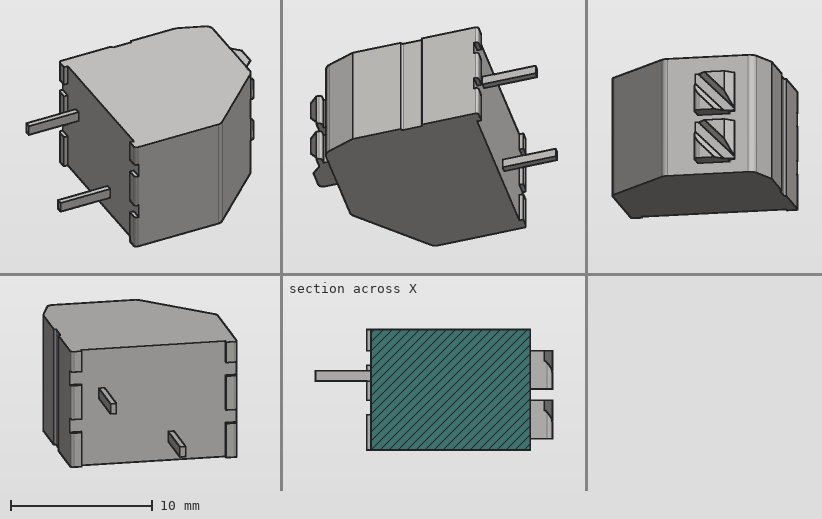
import cadquery as cq
import math

overall_length = 16.7
housing_width = 12.0
housing_depth = 8.5
pole_pitch = 3.49
poles = 2

pin_end_y = -3.6
button_top_y = overall_length + pin_end_y
housing_top_y = 11.52
board_face_y = 0.3
side_slope_y = 9.22
side_slope_run = 0.84
wire_slope_x = 7.28
wire_slope_y = 6.78
top_corner_radius = 0.57
foot_corner_radius = 0.2
selection_margin = 0.17

groove_depth = 0.15
groove_low_y = 4.12
groove_high_y = 5.68
groove_fillet = 0.13

foot_width = 0.8
foot_gap = 1.0
first_gap_z = 2.5

pin_width = 0.42
pin_height = 0.75
first_pin_z = 1.37
pin_lefts = (7.08, 2.09)

button_height = 2.72
first_button_z = 0.8
stem_left = 2.52
stem_right = 4.83
button_overhang = 0.5
button_bevel = 0.6
lip_bottom_drop = 0.99
lip_fillet = 0.22
button_fillet = 0.4

slot_depth = 0.6
slot_floor_width = 0.63
slot_top_width = 1.42
slot_half_length = 5.01
slot_angle = 45.0


def make_housing():
    outline = [
        (0, 0),
        (housing_width, 0),
        (housing_width, wire_slope_y),
        (wire_slope_x, housing_top_y),
        (side_slope_run, housing_top_y),
        (0, side_slope_y),
    ]
    body = cq.Workplane("XY").polyline(outline).close().extrude(housing_depth)
    upper_corners = cq.selectors.BoxSelector(
        (side_slope_run - selection_margin, wire_slope_y - selection_margin, 0),
        (housing_width + selection_margin, housing_top_y + selection_margin, housing_depth),
    )
    body = body.edges("|Z").edges(upper_corners).fillet(top_corner_radius)
    body = body.faces("<Y").edges("|Z").fillet(foot_corner_radius)

    groove = (
        cq.Workplane("XY")
        .rect(2 * groove_depth, groove_high_y - groove_low_y)
        .extrude(housing_depth)
        .translate((0, (groove_low_y + groove_high_y) / 2, 0))
        .faces(">X").edges("|Z").fillet(groove_fillet)
    )
    return body.cut(groove)


def make_foot_clearance():
    clearance = (
        cq.Workplane("XY")
        .box(housing_width - 2 * foot_width, board_face_y, housing_depth, centered=False)
        .translate((foot_width, 0, 0))
    )
    for pole in range(poles):
        gap = cq.Workplane("XY").box(housing_width, board_face_y, foot_gap, centered=False)
        clearance = clearance.union(gap.translate((0, 0, first_gap_z + pole * pole_pitch)))
    return clearance


def make_pin(left, bottom):
    length = board_face_y - pin_end_y
    pin = cq.Workplane("XY").box(pin_width, length, pin_height, centered=False)
    return pin.translate((left, pin_end_y, bottom))


def make_button():
    lip_left = stem_left - button_overhang
    lip_bottom_y = button_top_y - lip_bottom_drop
    arc_inset = lip_fillet * (1 - math.sqrt(0.5))
    button = (
        cq.Workplane("XY")
        .moveTo(stem_left, housing_top_y)
        .lineTo(stem_right, housing_top_y)
        .lineTo(stem_right, button_top_y)
        .lineTo(lip_left + button_bevel, button_top_y)
        .lineTo(lip_left, button_top_y - button_bevel)
        .lineTo(lip_left, lip_bottom_y + lip_fillet)
        .threePointArc(
            (lip_left + arc_inset, lip_bottom_y + arc_inset),
            (lip_left + lip_fillet, lip_bottom_y),
        )
        .lineTo(stem_left, lip_bottom_y)
        .close()
        .extrude(button_height)
        .edges(">X and >Y").fillet(button_fillet)
    )
    slot = (
        cq.Workplane("XY")
        .polyline([
            (-slot_floor_width / 2, -slot_depth),
            (slot_floor_width / 2, -slot_depth),
            (slot_top_width / 2, 0),
            (-slot_top_width / 2, 0),
        ])
        .close()
        .extrude(slot_half_length, both=True)
        .rotate((0, 0, 0), (0, 1, 0), slot_angle)
        .translate(((stem_left + stem_right) / 2, button_top_y, button_height / 2))
    )
    return button.cut(slot)


result = make_housing().cut(make_foot_clearance())
button = make_button()
for pole in range(poles):
    rise = pole * pole_pitch
    result = result.union(button.translate((0, 0, first_button_z + rise)))
    result = result.union(make_pin(pin_lefts[pole], first_pin_z + rise))